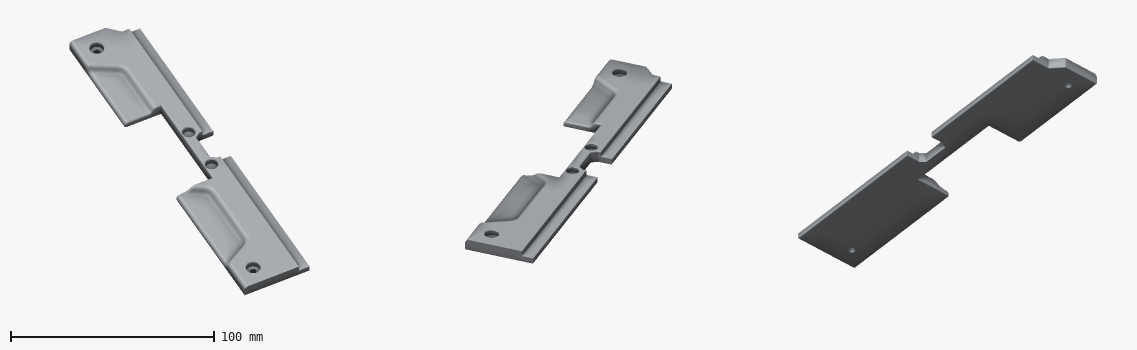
import cadquery as cq
import math

LENGTH = 186.0
DEPTH = 36.0
HEIGHT = 6.0

LEDGE_DEPTH = 6.0
LEDGE_HEIGHT = 3.2
CORNER_STEP = 6.0
CORNER_FRONT_Y = 20.0

CUTOUT_LEFT = -33.9
CUTOUT_RIGHT = 20.0
CUTOUT_DEPTH = 20.0
CUTOUT_FILLET = 1.0

NOTCH_HALF_WIDTH = 9.3
NOTCH_FLOOR_Y = 25.7
NOTCH_BEVEL_X = 2.0
NOTCH_BEVEL_Y = 3.0
NOTCH_FILLET = 0.5

UNDERSIDE_FILLET = 0.5

POCKET_FLOOR_Z = 3.0
POCKET_BACK_Y = 15.5
POCKET_CORNER_X = 62.3
POCKET_RIGHT_START = 29.2
WALL_ANGLE = 60.0
SIDE_ANGLE = 60.0
BEND_RADIUS = 5.0
FRONT_FILLET = 2.0

SCREW_X = 83.0
SCREW_Y = 10.0
SCREW_BORE = 3.3
SCREW_HEAD = 7.0
SCREW_SEAT_Z = 3.0
PIN_X = 12.0
PIN_Y = 24.0
PIN_DIAMETER = 6.3
PIN_FLOOR_Z = 3.0
RIM_CHAMFER = 0.4

MARGIN = 0.1
FOOT_OVERRUN = 9.3
POCKET_OVERRUN = 18.6

LEDGE_Y = DEPTH - LEDGE_DEPTH


def make_plate():
    """Plate outline with its corner step, notch and cutout, less the rear ledge."""
    left = -LENGTH / 2
    right = LENGTH / 2
    bevel_x = NOTCH_HALF_WIDTH - NOTCH_BEVEL_X
    bevel_y = NOTCH_FLOOR_Y + NOTCH_BEVEL_Y
    outline = [
        (left, 0),
        (CUTOUT_LEFT, 0),
        (CUTOUT_LEFT, CUTOUT_DEPTH),
        (CUTOUT_RIGHT, CUTOUT_DEPTH),
        (CUTOUT_RIGHT, 0),
        (right, 0),
        (right, DEPTH),
        (NOTCH_HALF_WIDTH, DEPTH),
        (NOTCH_HALF_WIDTH, bevel_y),
        (bevel_x, NOTCH_FLOOR_Y),
        (-bevel_x, NOTCH_FLOOR_Y),
        (-NOTCH_HALF_WIDTH, bevel_y),
        (-NOTCH_HALF_WIDTH, DEPTH),
        (left + CORNER_STEP, DEPTH),
        (left + CORNER_STEP, CORNER_FRONT_Y + CORNER_STEP),
        (left, CORNER_FRONT_Y),
    ]
    plate = cq.Workplane("XY").polyline(outline).close().extrude(HEIGHT)
    above_ledge = cq.Workplane("XY", origin=(left, LEDGE_Y, LEDGE_HEIGHT)).box(
        LENGTH, LEDGE_DEPTH, HEIGHT - LEDGE_HEIGHT, centered=False
    )
    return plate.cut(above_ledge)


def pocket_line(start, end, offset):
    """Plan line of a pocket wall: side, bend, straight back, bend, side.

    start and end are the X places where the straight back meets its bends;
    offset is measured inward from the middle of the wall.
    """
    radius = BEND_RADIUS - offset
    bend_y = POCKET_BACK_Y - BEND_RADIUS
    full_turn = math.radians(SIDE_ANGLE)

    def on_bend(x, side, turn):
        return (x + side * radius * math.sin(turn), bend_y + radius * math.cos(turn))

    def foot(x, side):
        top_x, top_y = on_bend(x, side, full_turn)
        return (top_x + side * (top_y + FOOT_OVERRUN) / math.tan(full_turn), -FOOT_OVERRUN)

    return (
        cq.Workplane("XY", origin=(0, 0, POCKET_FLOOR_Z))
        .moveTo(*foot(start, -1))
        .lineTo(*on_bend(start, -1, full_turn))
        .threePointArc(on_bend(start, -1, full_turn / 2), on_bend(start, -1, 0))
        .lineTo(*on_bend(end, 1, 0))
        .threePointArc(on_bend(end, 1, full_turn / 2), on_bend(end, 1, full_turn))
        .lineTo(*foot(end, 1))
    )


def make_pocket(start, end):
    """Cavity of one pocket: a flat-floored core plus the swept S-shaped wall."""
    depth = HEIGHT - POCKET_FLOOR_Z
    steepest = math.radians(WALL_ANGLE)
    radius = depth / 2 / (1 - math.cos(steepest))
    half_width = radius * math.sin(steepest)
    arc_run = radius * math.sin(steepest / 2)
    arc_rise = radius * (1 - math.cos(steepest / 2))

    path = pocket_line(start, end, 0)
    side = math.radians(SIDE_ANGLE)
    section_plane = cq.Plane(
        origin=path.ctx.pendingEdges[0].startPoint().toTuple(),
        xDir=(-math.sin(side), math.cos(side), 0),
        normal=(math.cos(side), math.sin(side), 0),
    )
    wall = (
        cq.Workplane(section_plane)
        .moveTo(-half_width, 0)
        .threePointArc((-half_width + arc_run, arc_rise), (0, depth / 2))
        .threePointArc((half_width - arc_run, depth - arc_rise), (half_width, depth))
        .lineTo(-half_width, depth)
        .close()
        .sweep(path)
    )
    core = pocket_line(start, end, half_width).close().extrude(depth)
    return core.union(wall)


def cut_holes(body):
    """Screw holes near the ends, and blind pin holes beside the notch."""
    for x in (-SCREW_X, SCREW_X):
        bore = cq.Workplane("XY").center(x, SCREW_Y).circle(SCREW_BORE / 2).extrude(HEIGHT)
        body = body.cut(bore)
        body = body.cut(rimmed_hole(x, SCREW_Y, SCREW_HEAD, SCREW_SEAT_Z))
    for x in (-PIN_X, PIN_X):
        body = body.cut(rimmed_hole(x, PIN_Y, PIN_DIAMETER, PIN_FLOOR_Z))
    return body


def rimmed_hole(x, y, diameter, floor_z):
    """Cutter for a flat-bottomed hole whose top edge is chamfered."""
    hole = cq.Workplane("XY", origin=(x, y, floor_z)).circle(diameter / 2).extrude(HEIGHT - floor_z)
    rim = (
        cq.Workplane("XY", origin=(x, y, HEIGHT - RIM_CHAMFER))
        .circle(diameter / 2)
        .workplane(offset=RIM_CHAMFER)
        .circle(diameter / 2 + RIM_CHAMFER)
        .loft()
    )
    return hole.union(rim)


def round_front(body):
    """Round the upper front edges, following the pocket mouths."""
    return body.faces("<Y").edges("not(|Z or <Z)").fillet(FRONT_FILLET)


def round_top_edges(body, x_range, y_range, lowest_z, radius):
    """Round every edge that lies wholly inside the given box, above lowest_z."""
    low_corner = (x_range[0] - MARGIN, y_range[0] - MARGIN, lowest_z)
    high_corner = (x_range[1] + MARGIN, y_range[1] + MARGIN, HEIGHT + MARGIN)
    inside = cq.selectors.BoxSelector(low_corner, high_corner, boundingbox=True)
    return body.edges(inside).fillet(radius)


def round_underside(body):
    """Round the lower outer edges, leaving the cutout and the notch sharp."""
    low_corner = (CUTOUT_LEFT - MARGIN, -MARGIN, -MARGIN)
    high_corner = (CUTOUT_RIGHT + MARGIN, DEPTH + MARGIN, MARGIN)
    cutout_and_notch = cq.selectors.BoxSelector(low_corner, high_corner, boundingbox=True)
    outer_sides = cq.selectors.InverseSelector(cutout_and_notch)
    return body.faces("<Z").edges("%LINE").edges(outer_sides).fillet(UNDERSIDE_FILLET)


body = make_plate()
body = body.cut(make_pocket(-POCKET_CORNER_X, CUTOUT_LEFT + POCKET_OVERRUN))
body = body.cut(make_pocket(POCKET_RIGHT_START, POCKET_CORNER_X))
body = round_front(body)
body = round_top_edges(body, (CUTOUT_LEFT, CUTOUT_RIGHT), (0, CUTOUT_DEPTH), MARGIN, CUTOUT_FILLET)
body = round_top_edges(
    body, (-NOTCH_HALF_WIDTH, NOTCH_HALF_WIDTH), (NOTCH_FLOOR_Y, LEDGE_Y), HEIGHT - MARGIN, NOTCH_FILLET
)
body = round_underside(body)
result = cut_holes(body)